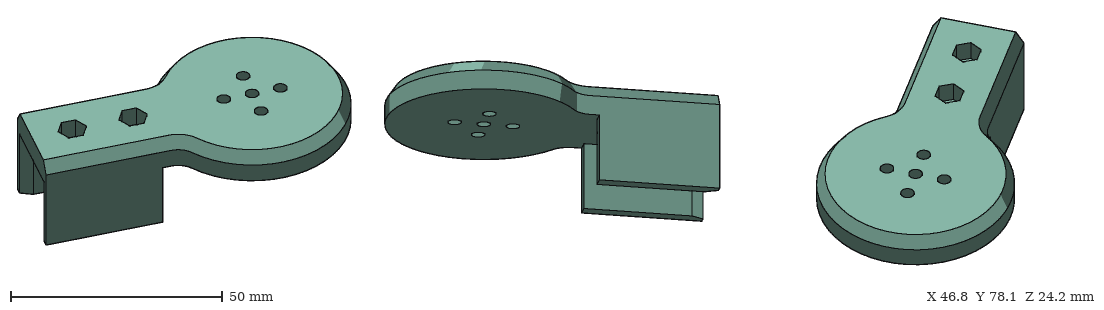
import cadquery as cq
import math

total_length = 78.1
total_height = 24.2
disc_radius = 23.4
plate_thickness = 7.8
arm_width = 22.4
neck_radius = 5.5

rim_inset = 2.0
rim_height = 3.05

leg_length = 29.0
channel_width = 16.25
mouth_flare = 1.5
mouth_depth = 3.0

disc_hole_diameter = 3.2
disc_hole_spacing = 7.0
bolt_diameter = 4.3
nut_across_flats = 6.1
nut_depth = 5.0
first_bolt_from_end = 10.1
bolt_spacing = 15.1

arm_half = arm_width / 2
channel_half = channel_width / 2
arm_end = disc_radius - total_length
leg_height = total_height - plate_thickness
neck_center_x = arm_half + neck_radius
neck_center_y = -math.sqrt((disc_radius + neck_radius) ** 2 - neck_center_x ** 2)
end_trim = 2 * rim_inset


def plate_outline(z):
    """Disc outline blended into the arm by tangent concave arcs."""
    tangent_scale = disc_radius / (disc_radius + neck_radius)
    tangent_x = neck_center_x * tangent_scale
    tangent_y = neck_center_y * tangent_scale
    start_angle = math.atan2(-neck_center_y, -neck_center_x)
    middle_angle = (start_angle + math.pi) / 2
    middle_x = neck_center_x + neck_radius * math.cos(middle_angle)
    middle_y = neck_center_y + neck_radius * math.sin(middle_angle)
    long_end = arm_end - end_trim
    return (
        cq.Workplane("XY", origin=(0, 0, z))
        .moveTo(arm_half, long_end)
        .lineTo(arm_half, neck_center_y)
        .threePointArc((middle_x, middle_y), (tangent_x, tangent_y))
        .threePointArc((0, disc_radius), (-tangent_x, tangent_y))
        .threePointArc((-middle_x, middle_y), (-arm_half, neck_center_y))
        .lineTo(-arm_half, long_end)
        .close()
    )


def make_plate():
    straight_height = plate_thickness - rim_height
    rim_taper = math.degrees(math.atan(rim_inset / rim_height))
    plate = plate_outline(0).extrude(straight_height)
    plate = plate.union(plate_outline(straight_height).extrude(rim_height, taper=rim_taper))
    trim = (
        cq.Workplane("XY", origin=(0, arm_end - end_trim / 2, 0))
        .box(arm_width, end_trim, plate_thickness, centered=(True, True, False))
    )
    return plate.cut(trim)


def make_legs():
    leg_thickness = (arm_width - channel_width) / 2
    leg_x = (arm_width - leg_thickness) / 2
    return (
        cq.Workplane("XY", origin=(0, arm_end + leg_length / 2, -leg_height))
        .pushPoints([(-leg_x, 0), (leg_x, 0)])
        .box(leg_thickness, leg_length, leg_height, centered=(True, True, False))
    )


def mouth_cutter():
    """Wedge that flares the channel's sides and ceiling towards the arm end."""

    def section(y, flare):
        half = channel_half + flare
        return cq.Wire.makePolygon(
            [
                cq.Vector(-half, y, -leg_height),
                cq.Vector(half, y, -leg_height),
                cq.Vector(half, y, flare),
                cq.Vector(-half, y, flare),
            ],
            close=True,
        )

    sections = [section(arm_end, mouth_flare), section(arm_end + mouth_depth, 0)]
    return cq.Workplane(obj=cq.Solid.makeLoft(sections, True))


def disc_holes():
    s = disc_hole_spacing
    return (
        cq.Workplane("XY")
        .pushPoints([(0, 0), (s, 0), (-s, 0), (0, s), (0, -s)])
        .circle(disc_hole_diameter / 2)
        .extrude(plate_thickness)
    )


def bolt_hole(y):
    """Through hole with a hexagonal nut pocket whose corners point along Y."""
    across_corners = nut_across_flats / math.cos(math.pi / 6)
    shank = cq.Workplane("XY").circle(bolt_diameter / 2).extrude(plate_thickness)
    nut = (
        cq.Workplane("XY", origin=(0, 0, plate_thickness - nut_depth))
        .polygon(6, across_corners)
        .extrude(nut_depth)
        .rotate((0, 0, 0), (0, 0, 1), 90)
    )
    return shank.union(nut).translate((0, y, 0))


result = make_plate().union(make_legs()).cut(mouth_cutter()).cut(disc_holes())
for bolt_index in range(2):
    result = result.cut(bolt_hole(arm_end + first_bolt_from_end + bolt_index * bolt_spacing))